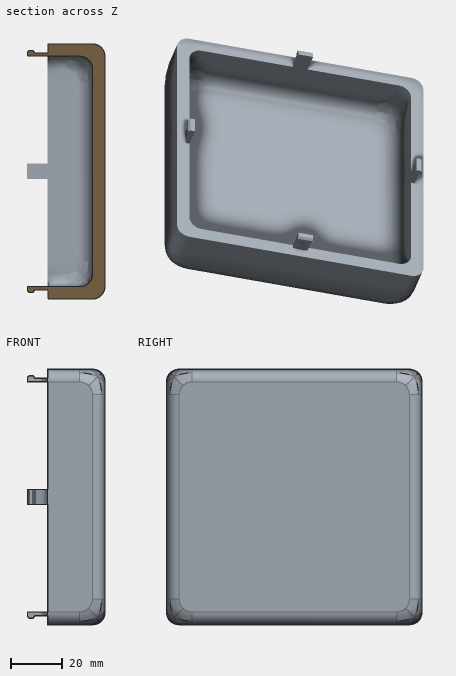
import cadquery as cq
import math

SIDE = 100.0
DEPTH = 22.5
WALL = 5.0
FLOOR = 5.0
EDGE_RADIUS = 5.0
CORNER_SIZE = 2 * EDGE_RADIUS

TAB_LENGTH = 8.0
TAB_WIDTH = 6.0
TAB_THICKNESS = 1.5
HOOK_LENGTH = 3.0
HOOK_HEIGHT = 2.5
HOOK_CHAMFER = 0.75

CAVITY_SIDE = SIDE - 2 * WALL
CAVITY_DEPTH = DEPTH - FLOOR

QUARTER_TURNS = (0, 90, 180, 270)
AXIS_CYCLES = ((0, 1, 2), (2, 0, 1), (1, 2, 0))
AXIS_SWAPS = ((0, 2, 1), (2, 1, 0), (1, 0, 2))

HALF_ARC = 45
HALF_ARC_MIDDLE = HALF_ARC / 2

PATCH_NORMALS = ((3, 2, 1), (6, 3, 1), (6, 5, 2), (6, 4, 3), (9, 3, 2))


def blend_point(normal):
    """Point of the corner blend where the surface faces along `normal`.

    The blend is the sum of three quarter discs, one in each coordinate plane.
    """
    x, y, z = normal
    xy = math.hypot(x, y)
    yz = math.hypot(y, z)
    zx = math.hypot(z, x)
    return (
        EDGE_RADIUS * (x / xy + x / zx),
        EDGE_RADIUS * (y / xy + y / yz),
        EDGE_RADIUS * (z / yz + z / zx),
    )


def reorder(point, axes):
    """The same point with its coordinates taken in another axis order."""
    return cq.Vector(*[point[axis] for axis in axes])


def arc_point(center, angle):
    """In-plane coordinates on an edge-radius arc about (center, center)."""
    return (
        center + EDGE_RADIUS * math.cos(math.radians(angle)),
        center + EDGE_RADIUS * math.sin(math.radians(angle)),
    )


def blend_patch(axes):
    """One of the six four-sided patches that meet in the middle of a corner blend."""
    def disc_point(angle):
        return reorder((CORNER_SIZE, *arc_point(0, angle)), axes)

    def fillet_point(angle):
        x, y = arc_point(EDGE_RADIUS, angle)
        return reorder((x, y, 0), axes)

    def on_blend(*normal):
        return reorder(blend_point(normal), axes)

    middle = on_blend(1, 1, 1)
    disc_arc = cq.Edge.makeThreePointArc(
        disc_point(HALF_ARC), disc_point(HALF_ARC_MIDDLE), disc_point(0)
    )
    fillet_arc = cq.Edge.makeThreePointArc(
        fillet_point(0), fillet_point(HALF_ARC_MIDDLE), fillet_point(HALF_ARC)
    )
    fillet_ridge = cq.Edge.makeSpline(
        [fillet_point(HALF_ARC), on_blend(4, 4, 1), on_blend(2, 2, 1), on_blend(4, 4, 3), middle],
        tangents=[reorder((0, 0, 1), axes), reorder((-1, -1, 2), axes)],
    )
    disc_ridge = cq.Edge.makeSpline(
        [middle, on_blend(4, 3, 3), on_blend(2, 1, 1), on_blend(4, 1, 1), disc_point(HALF_ARC)],
        tangents=[reorder((2, -1, -1), axes), reorder((0, -1, -1), axes)],
    )
    inner_points = [on_blend(*normal) for normal in PATCH_NORMALS]
    return cq.Face.makeNSidedSurface([disc_arc, fillet_arc, fillet_ridge, disc_ridge], inner_points)


def flat_face(x, corner_points, arc_center, axes):
    """Flat face across the first axis, its outline closed by a quarter arc in two halves."""
    def at(point):
        return reorder((x, *point), axes)

    edges = []
    for start, end in zip(corner_points[:-1], corner_points[1:]):
        edges.append(cq.Edge.makeLine(at(start), at(end)))
    for angle in (2 * HALF_ARC, HALF_ARC):
        ends = [at(arc_point(arc_center, angle - step)) for step in (0, HALF_ARC_MIDDLE, HALF_ARC)]
        edges.append(cq.Edge.makeThreePointArc(*ends))
    return cq.Face.makeFromWires(cq.Wire.assembleEdges(edges))


def corner_block():
    """Cube from the origin to CORNER_SIZE with its far corner blended away."""
    r = EDGE_RADIUS
    size = CORNER_SIZE
    faces = [blend_patch(axes) for axes in AXIS_CYCLES + AXIS_SWAPS]
    for axes in AXIS_CYCLES:
        faces.append(flat_face(size, [(r, 0), (0, 0), (0, r)], 0, axes))
        faces.append(flat_face(0, [(size, r), (size, 0), (0, 0), (0, size), (r, size)], r, axes))
    return cq.Solid.makeSolid(cq.Shell.makeShell(faces))


def rounded_block(side, depth, corner):
    """Square block from x = 0 to depth, rounded all round except at x = 0."""
    block = (
        cq.Workplane("YZ")
        .rect(side, side)
        .extrude(depth)
        .edges("|X or >X")
        .fillet(EDGE_RADIUS)
    )
    inset = side / 2 - CORNER_SIZE
    start = (depth - CORNER_SIZE, inset, inset)
    cube = cq.Workplane("XY").box(CORNER_SIZE, CORNER_SIZE, CORNER_SIZE, centered=False).translate(start)
    blended = cq.Workplane("XY").newObject([corner]).translate(start)
    for turn in QUARTER_TURNS:
        block = block.cut(cube.rotate((0, 0, 0), (1, 0, 0), turn))
        block = block.union(blended.rotate((0, 0, 0), (1, 0, 0), turn))
    return block.clean()


def snap_tab():
    """Tab at the top (+Z) wall, with its hook turned outwards."""
    base = CAVITY_SIDE / 2
    outer = base + TAB_THICKNESS
    crest = base + HOOK_HEIGHT
    tip = -TAB_LENGTH
    hook_end = tip + HOOK_LENGTH
    profile = [
        (0, base),
        (tip, base),
        (tip, crest - HOOK_CHAMFER),
        (tip + HOOK_CHAMFER, crest),
        (hook_end - HOOK_CHAMFER, crest),
        (hook_end, outer),
        (0, outer),
    ]
    return cq.Workplane("XZ").polyline(profile).close().extrude(TAB_WIDTH / 2, both=True)


corner = corner_block()
tray = rounded_block(SIDE, DEPTH, corner).cut(rounded_block(CAVITY_SIDE, CAVITY_DEPTH, corner))

tab = snap_tab()
for turn in QUARTER_TURNS:
    tray = tray.union(tab.rotate((0, 0, 0), (1, 0, 0), turn))

result = tray.solids()